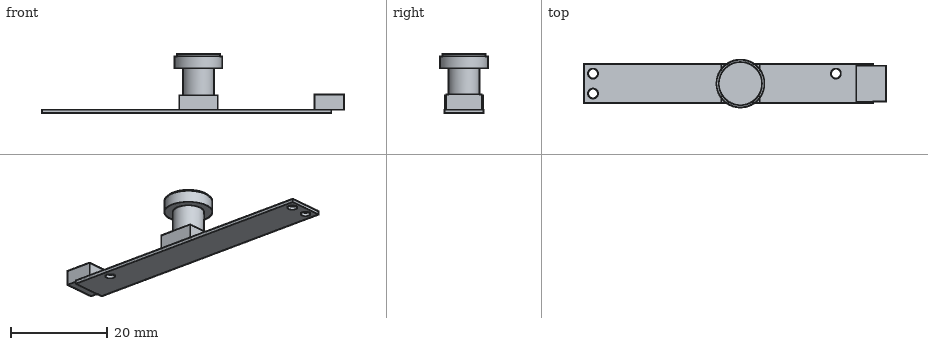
import cadquery as cq

strip_length = 60.15
strip_width = 8.15
strip_thickness = 0.75

hole_diameter = 2.0
hole_offset_y = 2.1
near_hole_x = 1.9
far_hole_x = 52.35

knob_x = 32.5
base_side = 8.05
base_top = 3.75
stem_diameter = 6.5
head_diameter = 10.0
head_top_diameter = 9.0
head_bottom = 9.3
head_step_height = 0.5
overall_height = 12.3

overall_length = 62.8
end_block_length = 6.15
end_block_width = 7.5
end_block_top = 3.9
end_block_bottom = 0.7


def block(start_x, length, width, bottom, top):
    """Box centred on the XZ plane, starting at start_x."""
    return (
        cq.Workplane("XY")
        .box(length, width, top - bottom, centered=(False, True, False))
        .translate((start_x, 0, bottom))
    )


def make_strip():
    hole_centers = [
        (near_hole_x, hole_offset_y),
        (near_hole_x, -hole_offset_y),
        (far_hole_x, hole_offset_y),
    ]
    holes = (
        cq.Workplane("XY")
        .pushPoints(hole_centers)
        .circle(hole_diameter / 2)
        .extrude(strip_thickness)
    )
    return block(0, strip_length, strip_width, 0, strip_thickness).cut(holes)


def disc(diameter, bottom, top):
    """Vertical cylinder on the knob axis."""
    return (
        cq.Workplane("XY", origin=(knob_x, 0, bottom))
        .circle(diameter / 2)
        .extrude(top - bottom)
    )


def make_knob():
    """Stem carrying a head with a slightly smaller raised top."""
    head_step = overall_height - head_step_height
    stem = disc(stem_diameter, base_top, head_bottom)
    head = disc(head_diameter, head_bottom, head_step)
    head_face = disc(head_top_diameter, head_step, overall_height)
    return stem.union(head).union(head_face)


base = block(knob_x - base_side / 2, base_side, base_side, strip_thickness, base_top)
end_block = block(
    overall_length - end_block_length,
    end_block_length,
    end_block_width,
    end_block_bottom,
    end_block_top,
)

result = make_strip().union(base).union(make_knob()).union(end_block)